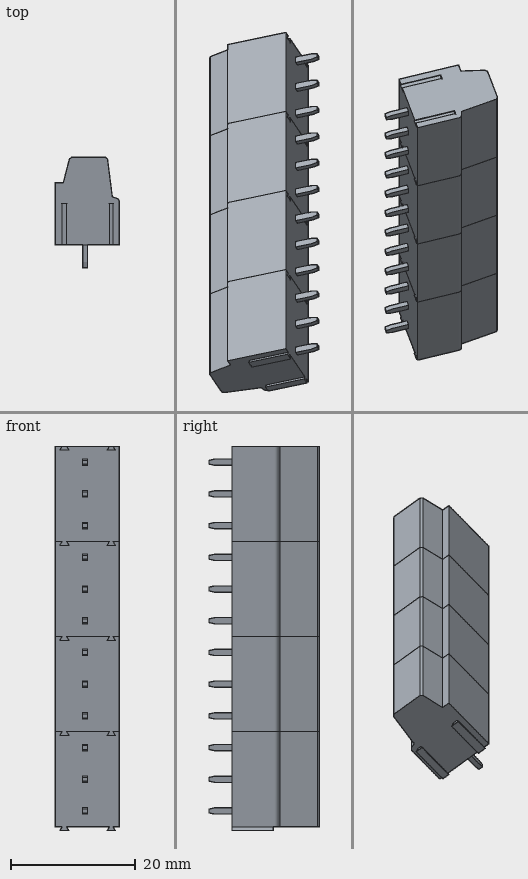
import cadquery as cq


total_height = 61.55
dovetail_height = 0.6
module_count = 4
pins_per_module = 3
module_height = (total_height - dovetail_height) / module_count
pin_pitch = module_height / pins_per_module

housing_width = 10.3
housing_depth = 14.05
ledge_depth = 10.0
ledge_width = 1.3
nose_left = 2.35
nose_right = 8.4
shoulder_x = 9.2
shoulder_inner_depth = 7.7
shoulder_outer_depth = 7.3
nose_chamfer = 0.3
shoulder_radius = 0.6

dovetails = [(1.5, 0.75, 1.5), (9.0, 0.6, 1.3)]
dovetail_length = 6.65

pin_x = 4.8
pin_width = 0.8
pin_height = 1.05
pin_length = 3.7
pin_tip_height = 0.6
pin_taper_length = 0.9


def make_housing():
    """Plain housing of one module, standing on Z = 0, with chamfered nose and rounded shoulder."""
    outline = [
        (0, 0),
        (housing_width, 0),
        (housing_width, shoulder_outer_depth),
        (shoulder_x, shoulder_inner_depth),
        (nose_right, housing_depth),
        (nose_left, housing_depth),
        (ledge_width, ledge_depth),
        (0, ledge_depth),
    ]
    housing = cq.Workplane("XY").polyline(outline).close().extrude(module_height)
    housing = housing.faces(">Y").edges("|Z").chamfer(nose_chamfer)
    return housing.faces(">X").edges("|Z and >Y").fillet(shoulder_radius)


def make_dovetail(center_x, neck_width, base_width, neck_z):
    """Dovetail bar that widens downward from its neck at neck_z."""
    base_z = neck_z - dovetail_height
    section = [
        (center_x - neck_width / 2, neck_z),
        (center_x + neck_width / 2, neck_z),
        (center_x + base_width / 2, base_z),
        (center_x - base_width / 2, base_z),
    ]
    return cq.Workplane("XZ").polyline(section).close().extrude(-dovetail_length)


def make_pin(center_z):
    """Pin standing out of the Y = 0 face, with its tip tapered in Z only."""
    taper_y = pin_taper_length - pin_length
    profile = [
        (0, center_z - pin_height / 2),
        (taper_y, center_z - pin_height / 2),
        (-pin_length, center_z - pin_tip_height / 2),
        (-pin_length, center_z + pin_tip_height / 2),
        (taper_y, center_z + pin_height / 2),
        (0, center_z + pin_height / 2),
    ]
    pin_start = cq.Workplane("YZ", origin=(pin_x - pin_width / 2, 0, 0))
    return pin_start.polyline(profile).close().extrude(pin_width)


def make_module(bottom_z):
    """One terminal module: housing with grooves on top, rails below and a row of pins."""
    module = make_housing()
    for center_x, neck_width, base_width in dovetails:
        module = module.cut(make_dovetail(center_x, neck_width, base_width, module_height))
        module = module.union(make_dovetail(center_x, neck_width, base_width, 0))
    for index in range(pins_per_module):
        module = module.union(make_pin((index + 0.5) * pin_pitch))
    return module.translate((0, 0, bottom_z))


modules = [make_module(index * module_height) for index in range(module_count)]

result = cq.Compound.makeCompound([module.val() for module in modules])